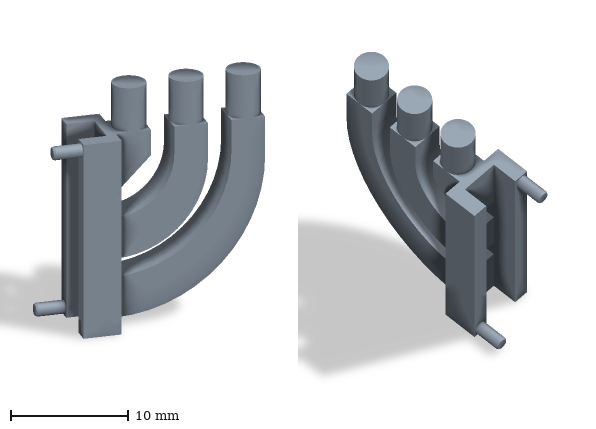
import cadquery as cq

overall_height = 21.8
overall_depth = 19.34

bracket_width = 6.5
bracket_height = 17.8
bracket_depth = 3.4
wall = 1.45
web = 0.9
slot_width = bracket_width - 2 * wall

pin_diameter = 1.2
pin_length = 2.6
pin_side_distance = 0.7
pin_end_distance = 0.75
pin_tip_length = 0.2
pin_tip_inset = 0.09

post_diameter = 3.0
post_height = overall_height - bracket_height
reach = overall_depth - bracket_depth - pin_length
pitch = 5.1
arm_width = post_diameter

gusset_straight = 2.38
middle_inner_depth = 7.72
middle_outer_depth = 11.5
long_inner_depth = 13.15
long_outer_depth = 16.92

long_outer_y = reach
middle_outer_y = reach - pitch
gusset_outer_y = reach - 2 * pitch
gusset_depth = gusset_straight + gusset_outer_y


def make_bracket():
    """U-shaped channel with windows in its web at the gaps between the arms."""
    body = cq.Workplane("XY").box(
        bracket_width, bracket_depth, bracket_height, centered=(True, False, False)
    ).translate((0, -bracket_depth, -bracket_height))
    slot = cq.Workplane("XY").box(
        slot_width, bracket_depth - web, bracket_height, centered=(True, False, False)
    ).translate((0, -bracket_depth, -bracket_height))
    body = body.cut(slot)
    gaps = ((gusset_depth, middle_inner_depth), (middle_outer_depth, long_inner_depth))
    for upper_depth, lower_depth in gaps:
        window = cq.Workplane("XY").box(
            slot_width, web, lower_depth - upper_depth, centered=(True, False, False)
        ).translate((0, -web, -lower_depth))
        body = body.cut(window)
    return body


def make_quarter_bend(outer_y, depth):
    """Solid below the top, bounded by a straight drop and a quarter arc centred on Y = 0."""
    arc_center_z = outer_y - depth
    diagonal = outer_y * 0.5**0.5
    return (
        cq.Workplane("YZ")
        .lineTo(outer_y, 0)
        .lineTo(outer_y, arc_center_z)
        .threePointArc((diagonal, arc_center_z - diagonal), (0, -depth))
        .close()
        .extrude(arm_width / 2, both=True)
    )


def make_curved_arm(outer_y, inner_depth, outer_depth):
    outer = make_quarter_bend(outer_y, outer_depth)
    inner = make_quarter_bend(outer_y - arm_width, inner_depth)
    return outer.cut(inner)


def make_gusset():
    """Short arm with a 45 degree underside."""
    return (
        cq.Workplane("YZ")
        .polyline([(0, 0), (gusset_outer_y, 0), (gusset_outer_y, -gusset_straight), (0, -gusset_depth)])
        .close()
        .extrude(arm_width / 2, both=True)
    )


def make_post(outer_y):
    center_y = outer_y - post_diameter / 2
    return cq.Workplane("XY").center(0, center_y).circle(post_diameter / 2).extrude(post_height)


def make_pin(x, z):
    """Pin pointing toward -Y with a slightly tapered tip."""
    pin = cq.Workplane("XZ").circle(pin_diameter / 2).extrude(pin_length)
    pin = pin.faces("<Y").edges().chamfer(pin_tip_length, pin_tip_inset)
    return pin.translate((x, -bracket_depth, z))


result = make_bracket()
result = result.union(make_curved_arm(long_outer_y, long_inner_depth, long_outer_depth))
result = result.union(make_curved_arm(middle_outer_y, middle_inner_depth, middle_outer_depth))
result = result.union(make_gusset())

for post_outer_y in (long_outer_y, middle_outer_y, gusset_outer_y):
    result = result.union(make_post(post_outer_y))

pin_x = bracket_width / 2 - pin_side_distance
result = result.union(make_pin(pin_x, -pin_end_distance))
result = result.union(make_pin(-pin_x, pin_end_distance - bracket_height))